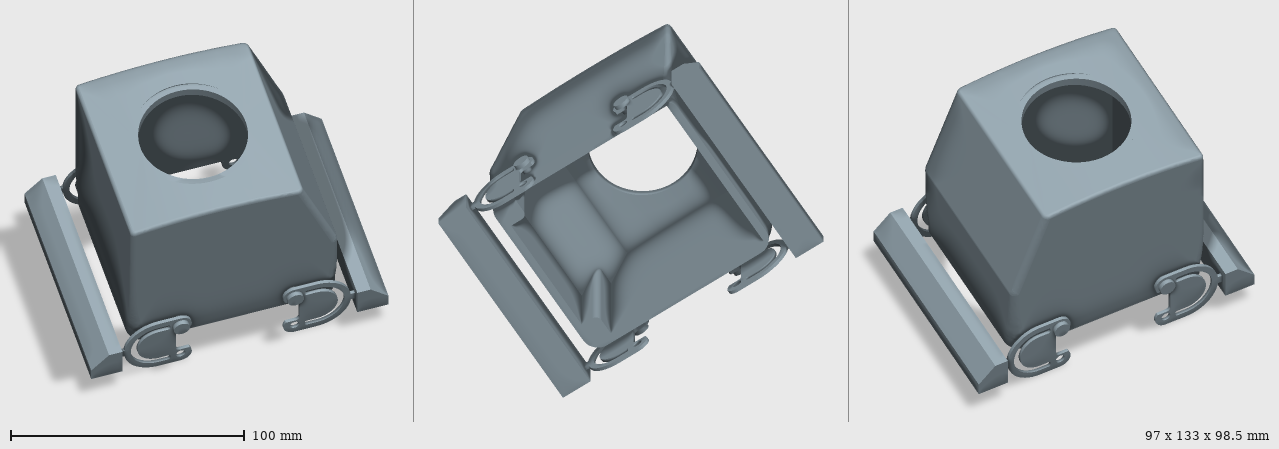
import cadquery as cq
import math


hood_width = 83.0
hood_length = 93.4
hood_top = 82.3
rim_height = 5.5
end_draft = math.tan(math.radians(0.3))
side_draft = math.tan(math.radians(0.1))
column_margin = 3.0
column_top = hood_top + column_margin
corner_radius_rim = 7.5
front_corner_radius_top = 2.0
back_corner_radius_top = 3.0
corner_decay_height = 10.0
corner_heights = (rim_height, 12.0, 20.0, 32.0, 52.0, column_top)
slope_edge_radius = 2.8
crown_edge_radius = 1.6

slope_angle = math.radians(20.0)
slope_tangent = math.tan(slope_angle)
slope_start = 36.0
crown_radius = 280.0
entry_y = -6.0
crown_margin = 5.0
trim_margin = 10.0

entry_radius = 23.5
spotface_radius = 26.3
spotface_half_strip = 17.4
spotface_depth = crown_radius - math.sqrt(crown_radius**2 - spotface_half_strip**2)

side_wall = 3.5
top_wall = 4.5
slope_wall = 5.0
post_front = 35.0
post_width = 10.4
post_radius = 2.75

plate_thickness = 1.5
plate_outer_x = 45.3
plate_inner_x = plate_outer_x - plate_thickness
latch_middle_z = -0.8
latch_arc_y = 35.3
latch_radius = 15.4
slot_outer_radius = 12.5
slot_inner_radius = 9.5
slot_end_y = 30.1
slot_corner_radius = 1.0
hook_radius = 5.0
hook_offset = latch_radius - hook_radius
mouth_y = 27.6
hook_lip = 3.1
mouth_half_height = hook_offset - hook_lip
mouth_radius = 1.8
neck_height = 4.0

bar_length = 97.0
bar_inner_y = 52.5
bar_outer_y = 66.5
bar_top = 5.5
bar_bottom = -8.8
bar_chamfer = 8.0

pin_y = 25.5
pin_z = latch_middle_z + hook_offset
pin_radius = 2.1
pin_head_radius = 3.6
pin_end_x = 47.3
pin_root_x = hood_width / 2 - side_wall / 2


def corner_radius(z, radius_top):
    """Vertical corner radius, wide at the rim and fading to radius_top above."""
    growth = math.exp(-(z - rim_height) / corner_decay_height)
    return radius_top + (corner_radius_rim - radius_top) * growth


def hood_section(z):
    """Rounded rectangle of the drafted column at height z."""
    height = z - rim_height
    return (
        cq.Sketch()
        .rect(hood_width - 2 * side_draft * height, hood_length - 2 * end_draft * height)
        .vertices(">Y")
        .fillet(corner_radius(z, back_corner_radius_top))
        .reset()
        .vertices("<Y")
        .fillet(corner_radius(z, front_corner_radius_top))
        .reset()
        .moved(cq.Location(cq.Vector(0, 0, z)))
    )


def crowned_block(width, front_y, back_y, slope_start_z, floor_z, top_z, radius):
    """Block along X with a crowned top and a back that slopes forward above slope_start_z."""
    slope_end_z = hood_top + crown_margin
    slope_end_y = back_y - (slope_end_z - slope_start_z) * slope_tangent
    wedge = (
        cq.Workplane("YZ")
        .moveTo(front_y, floor_z)
        .lineTo(back_y, floor_z)
        .lineTo(back_y, slope_start_z)
        .lineTo(slope_end_y, slope_end_z)
        .lineTo(front_y, slope_end_z)
        .close()
        .extrude(width / 2, both=True)
    )
    crown = (
        cq.Workplane("YZ")
        .center(entry_y, top_z - radius)
        .circle(radius)
        .extrude(width / 2, both=True)
    )
    return wedge.intersect(crown)


def hood_outside():
    """Straight rim below a drafted column, trimmed to the slope and crown and rounded along them."""
    rim_section = hood_section(rim_height).moved(cq.Location(cq.Vector(0, 0, -rim_height)))
    rim = cq.Workplane("XY").placeSketch(rim_section).extrude(rim_height)
    sections = [hood_section(z) for z in corner_heights]
    column = cq.Workplane("XY").placeSketch(*sections).loft()
    trim = crowned_block(
        hood_width + 2 * trim_margin,
        -hood_length / 2 - trim_margin,
        hood_length / 2 + trim_margin,
        slope_start - trim_margin / slope_tangent,
        0,
        hood_top,
        crown_radius,
    )
    column = column.intersect(trim)
    slope_rim = column.faces("%PLANE").faces(">Y").edges("not >Z")
    column = slope_rim.fillet(slope_edge_radius)
    column = column.faces("%CYLINDER").faces(">Z").edges().fillet(crown_edge_radius)
    return rim.union(column)


def cavity():
    """Space inside the hood, open below, with a rounded post left standing in each back corner."""
    back_y = hood_length / 2 - side_wall
    inner_slope_start = slope_start + side_wall / slope_tangent - slope_wall / math.sin(slope_angle)
    space = crowned_block(
        hood_width - 2 * side_wall,
        -hood_length / 2 + side_wall,
        back_y,
        inner_slope_start,
        0,
        hood_top - top_wall,
        crown_radius - top_wall,
    )
    for side in (-1, 1):
        post_middle_x = side * (hood_width / 2 - side_wall - post_width / 2)
        inner_edge = "<X" if side > 0 else ">X"
        post = (
            cq.Workplane("XY")
            .center(post_middle_x, (post_front + back_y) / 2)
            .rect(post_width, back_y - post_front)
            .extrude(hood_top)
            .edges("|Z")
            .edges("<Y")
            .edges(inner_edge)
            .fillet(post_radius)
        )
        space = space.cut(post)
    return space


def cable_entry():
    """Round opening through the crown with a flat spotface around it."""
    middle = cq.Workplane("XY", origin=(0, entry_y, hood_top - spotface_depth))
    bore = middle.circle(entry_radius).extrude(hood_top / 2, both=True)
    spotface = middle.circle(spotface_radius).extrude(hood_top / 2)
    return bore.union(spotface)


def pivot_pin(side_x, side_y):
    """Headed pin standing out of a side wall of the hood."""
    outward = cq.Plane(origin=(0, side_y * pin_y, pin_z), xDir=(0, 1, 0), normal=(side_x, 0, 0))
    shank = (
        cq.Workplane(outward)
        .workplane(offset=pin_root_x)
        .circle(pin_radius)
        .extrude(pin_end_x - pin_root_x)
    )
    head = (
        cq.Workplane(outward)
        .workplane(offset=plate_outer_x)
        .circle(pin_head_radius)
        .extrude(pin_end_x - plate_outer_x)
    )
    return shank.union(head)


def plate_workplane():
    """Inner face of the +X plate, with the latch middle height as its zero."""
    return cq.Workplane("YZ", origin=(plate_inner_x, 0, latch_middle_z))


def d_shape(end_y, radius):
    """Half disc about the latch arc centre, prolonged by a straight part to end_y."""
    return (
        plate_workplane()
        .moveTo(end_y, -radius)
        .lineTo(latch_arc_y, -radius)
        .threePointArc((latch_arc_y + radius, 0), (latch_arc_y, radius))
        .lineTo(end_y, radius)
        .close()
        .extrude(plate_thickness)
    )


def hook_discs(radius):
    """Pair of discs centred on the upper and lower hooks."""
    return (
        plate_workplane()
        .pushPoints([(pin_y, hook_offset), (pin_y, -hook_offset)])
        .circle(radius)
        .extrude(plate_thickness)
    )


def latch_plate():
    """Flat D-shaped plate of the +X, +Y latch arm: two hooks, a curved slot and a neck to the bar."""
    plate = d_shape(pin_y, latch_radius)
    hooks = hook_discs(hook_radius)
    mouth_depth = mouth_y - pin_y + 2 * hook_radius
    mouth = (
        plate_workplane()
        .center(mouth_y - mouth_depth / 2, 0)
        .rect(mouth_depth, 2 * mouth_half_height)
        .extrude(plate_thickness)
        .edges("|X and >Y")
        .fillet(mouth_radius)
    )
    slot = (
        d_shape(slot_end_y, slot_outer_radius)
        .cut(d_shape(slot_end_y, slot_inner_radius))
        .edges("|X and <Y")
        .fillet(slot_corner_radius)
    )
    holes = hook_discs(pin_radius)
    neck_start_y = latch_arc_y + (slot_outer_radius + latch_radius) / 2
    neck = (
        plate_workplane()
        .center((neck_start_y + bar_inner_y) / 2, 0)
        .rect(bar_inner_y - neck_start_y, neck_height)
        .extrude(plate_thickness)
    )
    return plate.union(hooks).cut(mouth).cut(slot).cut(holes).union(neck)


def handle_bar():
    """Bar of the +Y latch with its upper outer edge chamfered."""
    return (
        cq.Workplane("YZ")
        .center((bar_inner_y + bar_outer_y) / 2, (bar_top + bar_bottom) / 2)
        .rect(bar_outer_y - bar_inner_y, bar_top - bar_bottom)
        .extrude(bar_length / 2, both=True)
        .edges("|X and >Y and >Z")
        .chamfer(bar_chamfer)
    )


def latch():
    """Complete +Y latch: the bar and its two plates."""
    plate = latch_plate()
    return handle_bar().union(plate).union(plate.mirror("YZ"))


back_latch = latch()
hood = hood_outside().cut(cavity()).cut(cable_entry())
for side_x in (-1, 1):
    for side_y in (-1, 1):
        hood = hood.union(pivot_pin(side_x, side_y))
hood = hood.union(back_latch)

front_latch = back_latch.mirror("XZ")

result = cq.Compound.makeCompound([hood.val(), front_latch.val()])